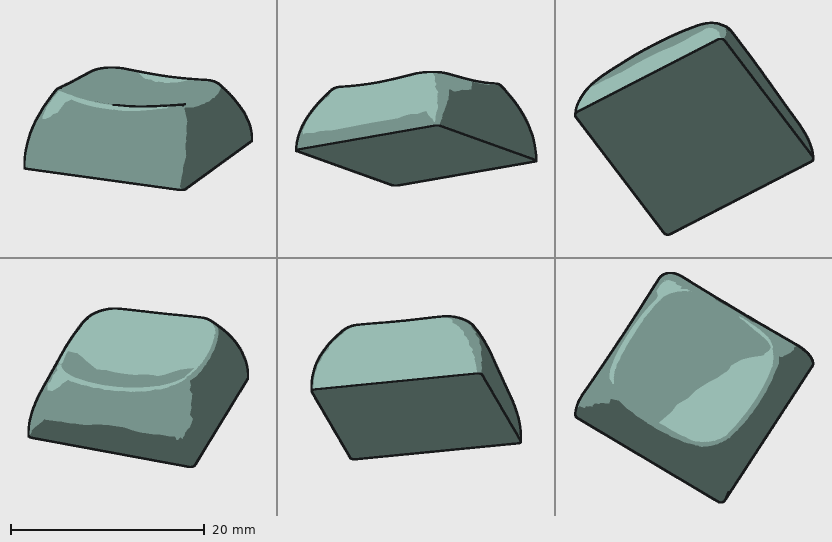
import cadquery as cq

BASE_SIDE = 18.1
TOP_SIDE = 13.5
TOP_BULGE = 1.7
MID_SIDE = 17.11
BASE_CORNER = 0.5
MID_CORNER = 2.25
TOP_CORNER = 5.0
HEIGHT = 8.75
TILT = -6.0
DISH_END_SAG = 1.3
DISH_MID_SAG = 2.8
DISH_RIM_DROP = 0.5
DISH_ARC_CHANGE = 2.0
RIM_FILLET = 0.6

HALF_BASE = BASE_SIDE / 2
MID_FRACTION = 1 / 2


def square_section(side, corner_radius):
    return cq.Sketch().rect(side, side).vertices().fillet(corner_radius)


def top_section():
    """Square with four outward-bowed sides and large rounded corners."""
    side = TOP_SIDE / 2
    corner = side - TOP_BULGE
    return (
        cq.Sketch()
        .arc((-corner, -corner), (-side, 0), (-corner, corner))
        .arc((-corner, corner), (0, side), (corner, corner))
        .arc((corner, corner), (side, 0), (corner, -corner))
        .arc((corner, -corner), (0, -side), (-corner, -corner))
        .assemble()
        .vertices()
        .fillet(TOP_CORNER)
    )


def raised(section, fraction):
    """Lift and tilt a section by a share of the full height and tilt."""
    return section.moved(cq.Location(cq.Vector(0, 0, HEIGHT * fraction), cq.Vector(1, 0, 0), TILT * fraction))


def make_body():
    return cq.Workplane("XY").placeSketch(
        square_section(BASE_SIDE, BASE_CORNER),
        raised(square_section(MID_SIDE, MID_CORNER), MID_FRACTION),
        raised(top_section(), 1),
    ).loft()


def dish_profile(plane, half_width, rim_z, sag):
    """Closed cutter profile: a hollow arc below, open space above."""
    return (
        plane.moveTo(-half_width, rim_z)
        .threePointArc((0, -sag), (half_width, rim_z))
        .lineTo(HALF_BASE, HEIGHT)
        .lineTo(-HALF_BASE, HEIGHT)
        .close()
    )


def make_dish_cutter():
    end_half = HALF_BASE - DISH_ARC_CHANGE
    mid_half = HALF_BASE + DISH_ARC_CHANGE
    start = cq.Workplane("YZ").transformed(
        offset=cq.Vector(0, HEIGHT, -HALF_BASE), rotate=cq.Vector(0, 0, TILT)
    )
    cutter = dish_profile(start, end_half, 0, DISH_END_SAG)
    cutter = dish_profile(cutter.workplane(offset=HALF_BASE), mid_half, -DISH_RIM_DROP, DISH_MID_SAG)
    cutter = dish_profile(cutter.workplane(offset=HALF_BASE), end_half, 0, DISH_END_SAG)
    return cutter.loft()


body = make_body().cut(make_dish_cutter())
dish_face = body.faces(cq.selectors.NearestToPointSelector((0, 0, HEIGHT - DISH_MID_SAG)))
result = dish_face.edges().fillet(RIM_FILLET)